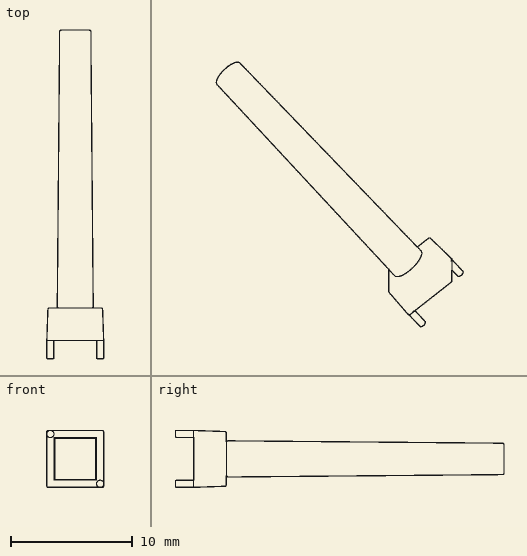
import cadquery as cq
import math

overall_length = 27.05

housing_size = 4.7
housing_depth = 2.7
housing_edge_radius = 0.15
wall_thickness = 0.6
draft_angle = 2

shaft_base_diameter = 3.0
shaft_draft_angle = 0.5
shaft_edge_radius = 0.15

pin_diameter = 0.6
pin_length = 1.5
pin_edge_radius = 0.1

pocket_size = housing_size - 2 * wall_thickness
pocket_depth = housing_depth - wall_thickness
shaft_length = overall_length - pin_length - housing_depth
pin_offset = (housing_size - pin_diameter) / 2


def drafted_square(size, depth):
    """Square block starting at Y = 0 and narrowing toward +Y."""
    return cq.Workplane("XZ").rect(size, size).extrude(-depth, taper=draft_angle)


def make_housing():
    """Drafted box, rounded on its long and rear edges, with a pocket in its front."""
    body = drafted_square(housing_size, housing_depth)
    body = body.edges("not <Y").fillet(housing_edge_radius)
    return body.cut(drafted_square(pocket_size, pocket_depth))


def make_shaft():
    """Tapered shaft with both its base and tip rims rounded."""
    base_radius = shaft_base_diameter / 2
    tip_radius = base_radius - shaft_length * math.tan(math.radians(shaft_draft_angle))
    tip_y = housing_depth + shaft_length
    half_profile = (
        cq.Workplane("YZ")
        .moveTo(housing_depth, 0)
        .lineTo(housing_depth, base_radius)
        .lineTo(tip_y, tip_radius)
        .lineTo(tip_y, 0)
        .close()
    )
    shaft = half_profile.revolve(360, (0, 0, 0), (1, 0, 0))
    return shaft.faces("|Y").edges().fillet(shaft_edge_radius)


def make_pin(x, z):
    """Pin standing out of the housing front toward -Y, with a rounded end."""
    pin = cq.Workplane("XZ").center(x, z).circle(pin_diameter / 2).extrude(pin_length)
    return pin.faces("<Y").edges().fillet(pin_edge_radius)


result = make_housing().union(make_shaft())
for side in (-1, 1):
    result = result.union(make_pin(side * pin_offset, -side * pin_offset))